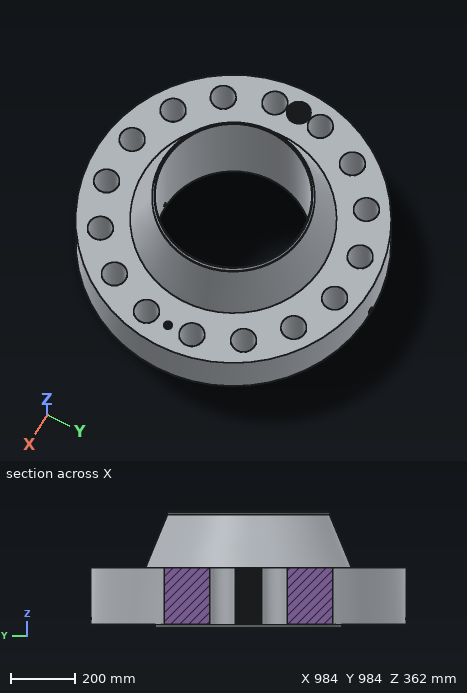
import cadquery as cq
import math

flange_diameter = 984.0
flange_thickness = 178.0
raised_face_diameter = 585.0
raised_face_height = 8.0
bore_diameter = 489.0
overall_height = 362.0
flange_top = raised_face_height + flange_thickness

hub_base_diameter = 644.0
hub_end_diameter = 508.0
weld_land_diameter = 494.0
weld_bevel_height = 6.0
weld_collar_height = 6.0

bolt_count = 16
bolt_circle_diameter = 832.0
bolt_hole_diameter = 80.0

jack_major_diameter = 76.0
jack_thread_pitch = 6.4

lifting_major_diameter = 26.0
lifting_thread_pitch = 3.15
lifting_depth = 39.0
lifting_pilot_diameter = 7.0
lifting_pilot_depth = 6.0

tap_height = 26.0
tap_major_diameter = 22.0
tap_thread_pitch = 1.8
tap_thread_depth = 20.0
tap_drill_diameter = 12.0

thread_depth_ratio = 0.54


def revolved_body():
    """Raised face, flange and hub around the bore, as one revolved section."""
    bore_radius = bore_diameter / 2
    hub_end_radius = hub_end_diameter / 2
    bevel_bottom = overall_height - weld_bevel_height
    section = [
        (bore_radius, 0),
        (raised_face_diameter / 2, 0),
        (raised_face_diameter / 2, raised_face_height),
        (flange_diameter / 2, raised_face_height),
        (flange_diameter / 2, flange_top),
        (hub_base_diameter / 2, flange_top),
        (hub_end_radius, bevel_bottom - weld_collar_height),
        (hub_end_radius, bevel_bottom),
        (weld_land_diameter / 2, overall_height),
        (bore_radius, overall_height),
    ]
    return cq.Workplane("XZ").polyline(section).close().revolve(360, (0, 0), (0, 1))


def bolt_holes():
    half_step = 180 / bolt_count
    return (
        cq.Workplane("XY")
        .polarArray(bolt_circle_diameter / 2, half_step, 360, bolt_count)
        .circle(bolt_hole_diameter / 2)
        .extrude(flange_top)
    )


def threaded_hole(major_diameter, pitch, depth):
    """Cutter running up from the origin: V thread grooves of the given pitch, widest at the top face."""
    major_radius = major_diameter / 2
    minor_radius = major_radius - thread_depth_ratio * pitch
    section = [(0, 0), (0, depth)]
    groove_count = math.floor(depth / pitch)
    for groove in range(groove_count):
        groove_height = depth - groove * pitch
        section.append((major_radius, groove_height))
        section.append((minor_radius, groove_height - pitch / 2))
    section.append((minor_radius, 0))
    return cq.Workplane("XZ").polyline(section).close().revolve(360, (0, 0), (0, 1))


def jack_screw_hole():
    cutter = threaded_hole(jack_major_diameter, jack_thread_pitch, flange_top)
    return cutter.translate((-bolt_circle_diameter / 2, 0, 0))


def lifting_hole():
    """Threaded blind hole with a small pilot hole in its floor."""
    thread = threaded_hole(lifting_major_diameter, lifting_thread_pitch, lifting_depth)
    pilot = cq.Workplane("XY").circle(lifting_pilot_diameter / 2).extrude(-lifting_pilot_depth)
    cutter = thread.union(pilot)
    return cutter.translate((bolt_circle_diameter / 2, 0, flange_top - lifting_depth))


def pressure_tap():
    """Threaded tap in the -Y rim, continued into the bore by a smaller drill."""
    rim_radius = flange_diameter / 2
    thread = threaded_hole(tap_major_diameter, tap_thread_pitch, tap_thread_depth)
    thread = thread.rotate((0, 0, 0), (1, 0, 0), 90)
    thread = thread.translate((0, tap_thread_depth - rim_radius, tap_height))
    drill = (
        cq.Workplane("XZ", origin=(0, 0, tap_height))
        .circle(tap_drill_diameter / 2)
        .extrude(rim_radius)
    )
    return thread.union(drill)


result = revolved_body().cut(bolt_holes())
result = result.cut(jack_screw_hole()).cut(lifting_hole())
result = result.cut(pressure_tap())
result = result.cut(pressure_tap().rotate((0, 0, 0), (0, 0, 1), 180))